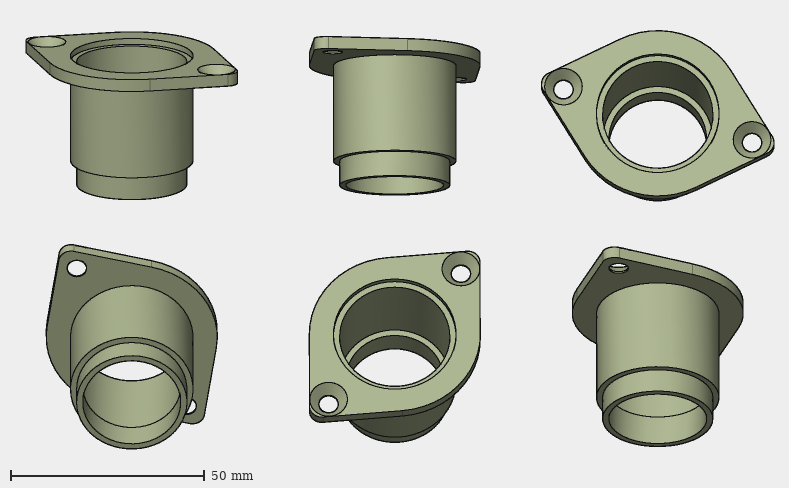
import cadquery as cq
import math

flange_length = 62.5
flange_width = 44.3
flange_thickness = 3.2
tip_radius = 3.2

total_height = 34.7
barrel_diameter = 31.75
spigot_diameter = 28.55
spigot_bore_diameter = 25.35
spigot_height = 6.4
ledge_thickness = 1.55
recess_depth = 1.55

hole_spacing = 50.85
hole_diameter = 5.0
countersink_diameter = 9.75
countersink_angle = 82.0

flange_bottom = total_height - flange_thickness
ledge_top = spigot_height + ledge_thickness


def cylinder(diameter, bottom, top):
    """Solid cylinder on the tube axis between two heights."""
    return cq.Workplane("XY").workplane(offset=bottom).circle(diameter / 2).extrude(top - bottom)


def make_flange():
    """Plate whose straight sides are tangent to the central arcs and the tip arcs."""
    disc_radius = flange_width / 2
    tip_center = flange_length / 2 - tip_radius
    tangent_angle = math.acos((disc_radius - tip_radius) / tip_center)
    normal_x = math.cos(tangent_angle)
    normal_y = math.sin(tangent_angle)
    disc_x = disc_radius * normal_x
    disc_y = disc_radius * normal_y
    tip_x = tip_center + tip_radius * normal_x
    tip_y = tip_radius * normal_y
    return (
        cq.Workplane("XY")
        .workplane(offset=flange_bottom)
        .moveTo(-disc_x, disc_y)
        .threePointArc((0, disc_radius), (disc_x, disc_y))
        .lineTo(tip_x, tip_y)
        .threePointArc((flange_length / 2, 0), (tip_x, -tip_y))
        .lineTo(disc_x, -disc_y)
        .threePointArc((0, -disc_radius), (-disc_x, -disc_y))
        .lineTo(-tip_x, -tip_y)
        .threePointArc((-flange_length / 2, 0), (-tip_x, tip_y))
        .close()
        .extrude(flange_thickness)
    )


flange = (
    make_flange()
    .faces(">Z")
    .workplane(origin=(0, 0, total_height))
    .pushPoints([(-hole_spacing / 2, 0), (hole_spacing / 2, 0)])
    .cskHole(hole_diameter, countersink_diameter, countersink_angle)
)

barrel = cylinder(barrel_diameter, spigot_height, total_height)
spigot = cylinder(spigot_diameter, 0, spigot_height)
body = flange.union(barrel).union(spigot)

through_bore = cylinder(spigot_bore_diameter, 0, total_height)
barrel_bore = cylinder(spigot_diameter, ledge_top, total_height)
mouth_recess = cylinder(barrel_diameter, total_height - recess_depth, total_height)

result = body.cut(through_bore).cut(barrel_bore).cut(mouth_recess)